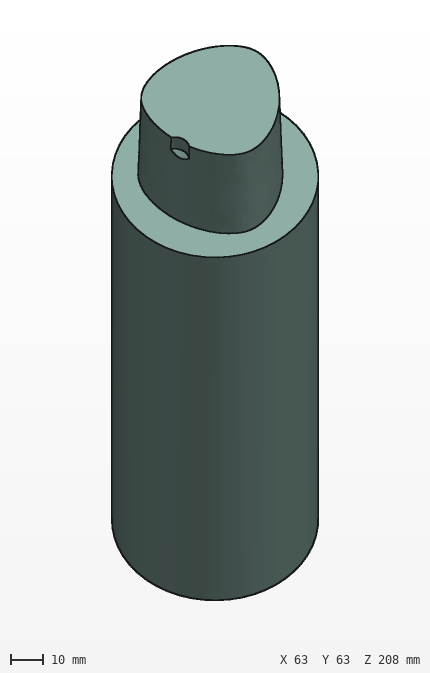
import cadquery as cq
import math

total_height = 208
body_diameter = 63.0
shank_height = 37.9
shank_base_width = 44.0
lobe_size = 1.5
taper = 1 / 20
outline_points = 36

notch_radius = 4.5
notch_offset = 22.7
notch_depth = 5.8
notch_floor_angle = 90

body_height = total_height - shank_height
shank_top_width = shank_base_width - taper * shank_height
notch_tip_height = notch_radius / math.tan(math.radians(notch_floor_angle / 2))


def lobe_point(angle, width):
    """Point with the given normal angle on a rounded three-lobed section, one lobe toward +Y."""
    support = width / 2 - lobe_size * math.sin(3 * angle)
    slope = -3 * lobe_size * math.cos(3 * angle)
    x = support * math.cos(angle) - slope * math.sin(angle)
    y = support * math.sin(angle) + slope * math.cos(angle)
    return (x, y)


def section_points(width):
    """Points around one section, starting at the middle of the -Y side."""
    step = 2 * math.pi / outline_points
    return [lobe_point(-math.pi / 2 + i * step, width) for i in range(outline_points)]


def make_body():
    return cq.Workplane("XY").circle(body_diameter / 2).extrude(body_height)


def make_shank():
    """Tapered three-lobed shank standing on the body."""
    return (
        cq.Workplane("XY", origin=(0, 0, body_height))
        .spline(section_points(shank_base_width), periodic=True)
        .close()
        .workplane(offset=shank_height)
        .spline(section_points(shank_top_width), periodic=True)
        .close()
        .loft(ruled=True)
    )


def make_notch():
    """Round cutter with a conical tip, open through the top and the -Y side of the shank."""
    straight_bottom = total_height - notch_depth
    return (
        cq.Workplane("XZ", origin=(0, -notch_offset, 0))
        .moveTo(0, straight_bottom - notch_tip_height)
        .lineTo(notch_radius, straight_bottom)
        .lineTo(notch_radius, total_height)
        .lineTo(0, total_height)
        .close()
        .revolve(360, (0, 0), (0, 1))
    )


result = make_body().union(make_shank()).cut(make_notch())